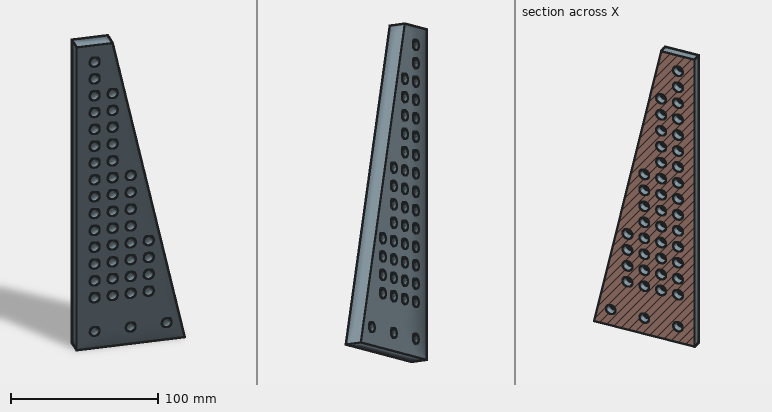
import cadquery as cq

height = 228.5
pitch = height / 18
thickness = pitch
base_width = 6 * pitch
top_width = 2 * pitch
grid_hole_diameter = 7.0
base_hole_diameter = 6.9

first_row = 3
column_lengths = [15, 13, 8, 4]

base_row = 1
base_columns = [1, 3, 5]


def grid_point(column, row):
    """Return (y, z) of a grid position; columns count from the straight edge at y = 0."""
    return (column * pitch, row * pitch)


def through_holes(points, diameter):
    """Return cylinders along X that pass through the plate at the given (y, z) points."""
    return cq.Workplane("YZ").pushPoints(points).circle(diameter / 2).extrude(thickness)


outline = [(0, 0), (base_width, 0), (top_width, height), (0, height)]
plate = cq.Workplane("YZ").polyline(outline).close().extrude(thickness)

grid_points = [
    grid_point(column, first_row + step)
    for column, length in enumerate(column_lengths, start=1)
    for step in range(length)
]
base_points = [grid_point(column, base_row) for column in base_columns]

result = (
    plate
    .cut(through_holes(grid_points, grid_hole_diameter))
    .cut(through_holes(base_points, base_hole_diameter))
)